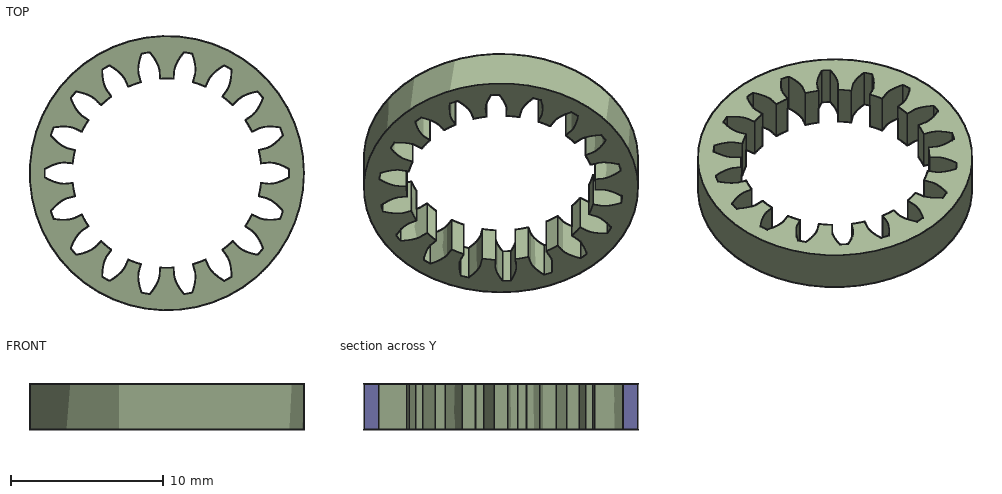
import cadquery as cq
import math

outer_diameter = 18.0
thickness = 3.0
tooth_count = 18
gear_module = 0.8
pressure_angle = math.radians(20)
root_depth_factor = 1.0
tip_height_factor = 1.25
flank_sections = 8

pitch_radius = gear_module * tooth_count / 2
root_radius = pitch_radius + root_depth_factor * gear_module
tip_radius = pitch_radius - tip_height_factor * gear_module
base_radius = pitch_radius * math.cos(pressure_angle)
pitch_angle_degrees = 360 / tooth_count


def involute(angle):
    """Involute function of a pressure angle in radians."""
    return math.tan(angle) - angle


base_half_angle = math.pi / (2 * tooth_count) + involute(pressure_angle)


def polar_point(radius, angle):
    return (radius * math.cos(angle), radius * math.sin(angle))


def flank_point(radius):
    """Point of the upper flank, for a tooth space centred on +X."""
    local_pressure_angle = math.acos(base_radius / radius)
    return polar_point(radius, base_half_angle - involute(local_pressure_angle))


def mirrored(point):
    return (point[0], -point[1])


def make_bored_ring():
    return (
        cq.Workplane("XY")
        .circle(outer_diameter / 2)
        .circle(tip_radius)
        .extrude(thickness)
    )


def make_tooth_space():
    """Space between two teeth: radial sides up to the base circle, then involute flanks."""
    radius_step = (root_radius - base_radius) / flank_sections
    upper_flank = [flank_point(base_radius + i * radius_step) for i in range(flank_sections + 1)]
    lower_flank = [mirrored(point) for point in reversed(upper_flank)]
    return (
        cq.Workplane("XY")
        .lineTo(*upper_flank[0])
        .spline(upper_flank[1:], includeCurrent=True)
        .threePointArc((root_radius, 0), lower_flank[0])
        .spline(lower_flank[1:], includeCurrent=True)
        .close()
        .extrude(thickness)
    )


result = make_bored_ring()
tooth_space = make_tooth_space()
for index in range(tooth_count):
    turned_space = tooth_space.rotate((0, 0, 0), (0, 0, 1), index * pitch_angle_degrees)
    result = result.cut(turned_space)